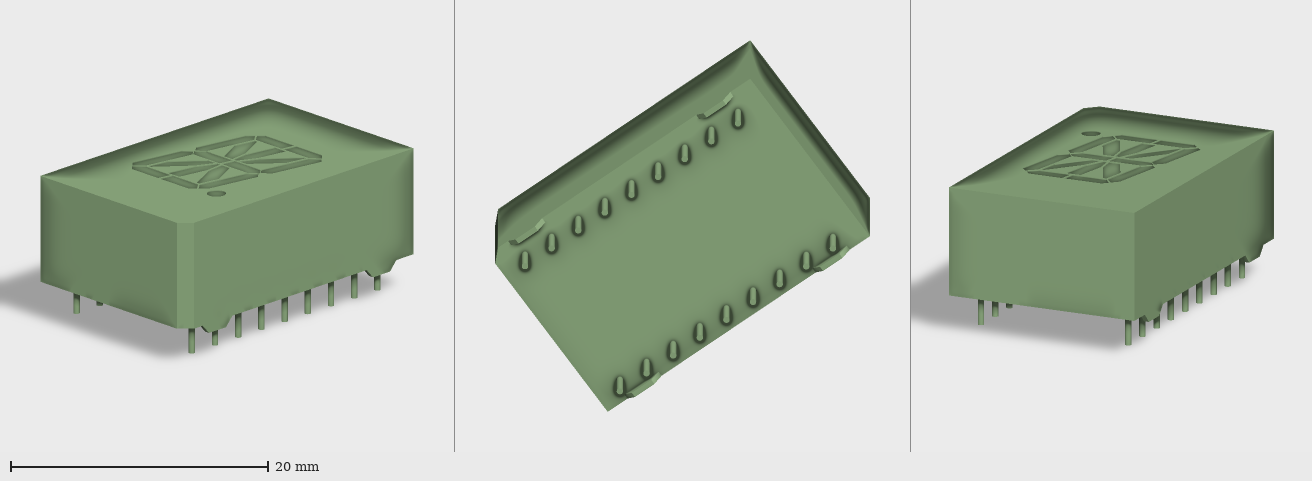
import cadquery as cq
import math

body_width = 16.0
body_length = 25.0
body_height = 8.75
corner_cut = 0.95

pin_diameter = 0.5
pin_length = 2.75
pin_pitch = 2.54
pins_per_row = 9
row_spacing = 5 * pin_pitch

foot_height = 0.78
foot_thickness = 0.42
foot_top_length = 3.25
foot_tip_length = 1.85
foot_offset = 8.98

recess_depth = 0.1
lean = math.tan(math.radians(10))
digit_half_height = 6.35
digit_half_width = 4.2
bar = 1.2
gap = 0.18
corner_drop = 1.08

inner_height = digit_half_height - bar
inner_width = digit_half_width - bar
core_top = inner_height - gap
core_bottom = bar / 2 + gap
core_side = inner_width - gap
tip_x = (digit_half_width + inner_width) / 2

upright_half_width = 0.62
upright_foot_half_width = 0.18
knee_height = 2.35
diagonal_tip_x = 2.55
diagonal_foot_x = 1.22
diagonal_side_height = 3.12

dot_radius = 0.75
dot_x = 4.48
dot_y = dot_radius - digit_half_height


def slanted(points):
    """Lean the points of the upright digit to the right."""
    return [(x + lean * y, y) for x, y in points]


def recess(points):
    """Shallow prism just below the top face."""
    bottom = cq.Workplane("XY").workplane(offset=body_height - recess_depth)
    return bottom.polyline(points).close().extrude(recess_depth)


def make_body():
    body = cq.Workplane("XY").box(body_width, body_length, body_height, centered=(True, True, False))
    return body.edges("|Z and >X and <Y").chamfer(corner_cut)


def make_pins():
    grid = cq.Workplane("XY").rarray(row_spacing, pin_pitch, 2, pins_per_row)
    return grid.circle(pin_diameter / 2).extrude(-pin_length)


def make_foot(x_start, y_center):
    """Trapezoidal foot with sloping flanks."""
    top_reach = foot_top_length / 2
    tip_reach = foot_tip_length / 2
    outline = [
        (y_center - top_reach, 0),
        (y_center - tip_reach, -foot_height),
        (y_center + tip_reach, -foot_height),
        (y_center + top_reach, 0),
    ]
    side = cq.Workplane("YZ").workplane(offset=x_start)
    return side.polyline(outline).close().extrude(foot_thickness)


def upper_side_segments(side):
    """Outer bars and diagonal of the upper half; side is -1 for left and 1 for right."""
    half_gap = gap / 2
    top_bar = [
        (half_gap, inner_height),
        (half_gap, digit_half_height),
        (digit_half_width - half_gap, digit_half_height),
        (inner_width - half_gap, inner_height),
    ]
    side_bar = [
        (inner_width, inner_height - half_gap),
        (digit_half_width, digit_half_height - half_gap),
        (digit_half_width, bar / 2 + half_gap),
        (tip_x, half_gap),
        (inner_width, bar / 2 + half_gap),
    ]
    diagonal = [
        (core_side, core_top),
        (diagonal_tip_x, core_top),
        (upright_half_width + gap, knee_height),
        (upright_foot_half_width + gap, core_bottom),
        (diagonal_foot_x, core_bottom),
        (core_side, diagonal_side_height),
    ]
    return [[(side * x, y) for x, y in segment] for segment in (top_bar, side_bar, diagonal)]


def half_digit_segments():
    """Upper segments plus the left half of the middle bar, before leaning."""
    upright = [
        (-upright_half_width, core_top),
        (upright_half_width, core_top),
        (upright_half_width, knee_height),
        (upright_foot_half_width, core_bottom),
        (-upright_foot_half_width, core_bottom),
        (-upright_half_width, knee_height),
    ]
    middle_bar = [
        (-gap / 2, bar / 2),
        (-gap / 2, -bar / 2),
        (-inner_width, -bar / 2),
        (-tip_x, 0),
        (-inner_width, bar / 2),
    ]
    return upper_side_segments(-1) + upper_side_segments(1) + [upright, middle_bar]


def digit_envelope():
    """Leaning outline of the digit with its four corners cut at a true 45 degrees."""
    left_run = corner_drop * (1 - lean)
    right_run = corner_drop * (1 + lean)
    upper = slanted([
        (digit_half_width, digit_half_height - corner_drop),
        (digit_half_width - right_run, digit_half_height),
        (-digit_half_width + left_run, digit_half_height),
        (-digit_half_width, digit_half_height - corner_drop),
    ])
    lower = [(-x, -y) for x, y in upper]
    return recess(upper + lower)


def make_digit():
    """All segment recesses; the lower half is the upper half turned by 180 degrees."""
    half = cq.Workplane("XY")
    for segment in half_digit_segments():
        half = half.add(recess(slanted(segment)))
    half = half.combine().intersect(digit_envelope())
    return half.union(half.rotate((0, 0, 0), (0, 0, 1), 180))


def make_dot():
    bottom = cq.Workplane("XY").workplane(offset=body_height - recess_depth)
    return bottom.center(dot_x, dot_y).circle(dot_radius).extrude(recess_depth)


result = make_body().union(make_pins())
for x_start in (-body_width / 2, body_width / 2 - foot_thickness):
    for y_center in (-foot_offset, foot_offset):
        result = result.union(make_foot(x_start, y_center))
result = result.cut(make_digit()).cut(make_dot())